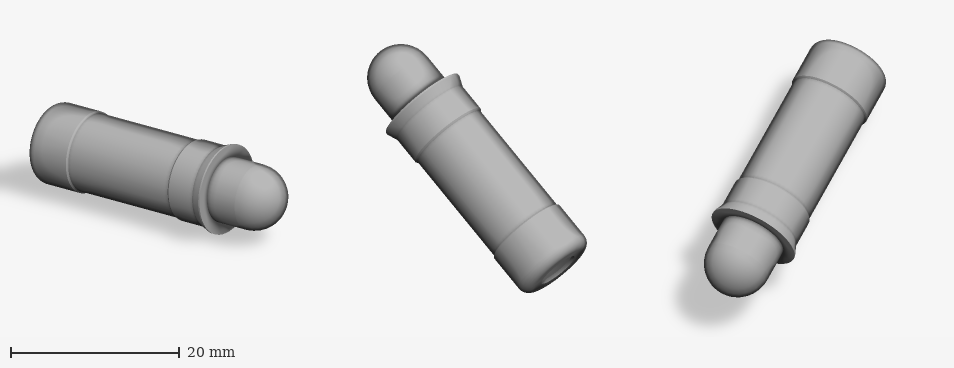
import cadquery as cq

total_length = 34.0
rear_collar_end = 5.95
rear_step_end = 6.15
front_step_start = 20.75
front_collar_start = 21.0
flare_start = 24.48
rim_start = 25.75
housing_length = 25.95

shank_radius = 4.8
collar_radius = 5.0
rim_radius = 5.5
plunger_radius = 4.0
rear_hole_radius = 2.5

rear_round_radius = 1.25
rear_wall = 0.45


def cylinder_along_x(start, end, radius):
    """Solid cylinder on the X axis between two axial positions."""
    return cq.Workplane("YZ").workplane(offset=start).circle(radius).extrude(end - start)


def make_housing():
    """Collared sleeve with a rounded rear end, a flared front rim and a stepped bore."""
    outer = (
        cq.Workplane("XY")
        .moveTo(0, 0)
        .lineTo(0, collar_radius - rear_round_radius)
        .radiusArc((rear_round_radius, collar_radius), rear_round_radius)
        .lineTo(rear_collar_end, collar_radius)
        .lineTo(rear_step_end, shank_radius)
        .lineTo(front_step_start, shank_radius)
        .lineTo(front_collar_start, collar_radius)
        .lineTo(flare_start, collar_radius)
        .lineTo(rim_start, rim_radius)
        .lineTo(housing_length, rim_radius)
        .lineTo(housing_length, 0)
        .close()
        .revolve(360, (0, 0, 0), (1, 0, 0))
    )
    rear_hole = cylinder_along_x(0, rear_wall, rear_hole_radius)
    plunger_bore = cylinder_along_x(rear_wall, housing_length, plunger_radius)
    return outer.cut(rear_hole).cut(plunger_bore)


def make_plunger(start):
    """Round plunger with a hemispherical nose, filling the bore from the given position."""
    nose_start = total_length - plunger_radius
    return (
        cq.Workplane("XY")
        .moveTo(start, 0)
        .lineTo(start, plunger_radius)
        .lineTo(nose_start, plunger_radius)
        .radiusArc((total_length, 0), plunger_radius)
        .close()
        .revolve(360, (0, 0, 0), (1, 0, 0))
    )


housing = make_housing()
plunger = make_plunger(front_step_start)

result = cq.Compound.makeCompound([housing.val(), plunger.val()])